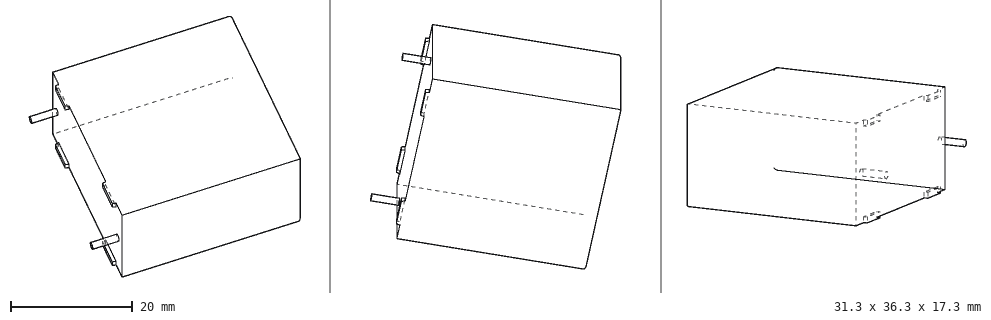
import cadquery as cq

width = 31.3
height = 17.3
overall_depth = 36.3

case_depth = 31.65
back_edge_radius = 0.5

foot_root_width = 4.72
foot_side_slope = 0.165
foot_height = 0.6
foot_thickness = 1.0
foot_inset = 2.65

lead_diameter = 1.2
lead_pitch = 27.5
lead_length = overall_depth - case_depth

foot_center_x = width / 2 - foot_inset - foot_root_width / 2
foot_center_z = height / 2 - foot_thickness / 2


def make_foot(center_x, center_z):
    """A bar on the Y = 0 face whose two ends lean in towards its tip."""
    half_root = foot_root_width / 2
    half_tip = half_root - foot_side_slope
    return (
        cq.Workplane("XY")
        .polyline([
            (-half_root, 0),
            (-half_tip, -foot_height),
            (half_tip, -foot_height),
            (half_root, 0),
        ])
        .close()
        .extrude(foot_thickness / 2, both=True)
        .translate((center_x, 0, center_z))
    )


def make_case():
    """A block with rounded edges around its back face and four feet moulded on its lead side."""
    case = (
        cq.Workplane("XY")
        .box(width, case_depth, height)
        .translate((0, case_depth / 2, 0))
        .faces(">Y")
        .edges()
        .fillet(back_edge_radius)
    )
    for side_x in (-1, 1):
        for side_z in (-1, 1):
            case = case.union(make_foot(side_x * foot_center_x, side_z * foot_center_z))
    return case


def make_lead(center_x):
    """A round wire that starts on the lead side of the case and points towards -Y."""
    return (
        cq.Workplane("XZ")
        .center(center_x, 0)
        .circle(lead_diameter / 2)
        .extrude(lead_length)
    )


case = make_case()
leads = [make_lead(side * lead_pitch / 2) for side in (-1, 1)]

result = cq.Compound.makeCompound([case.val(), *[lead.val() for lead in leads]])